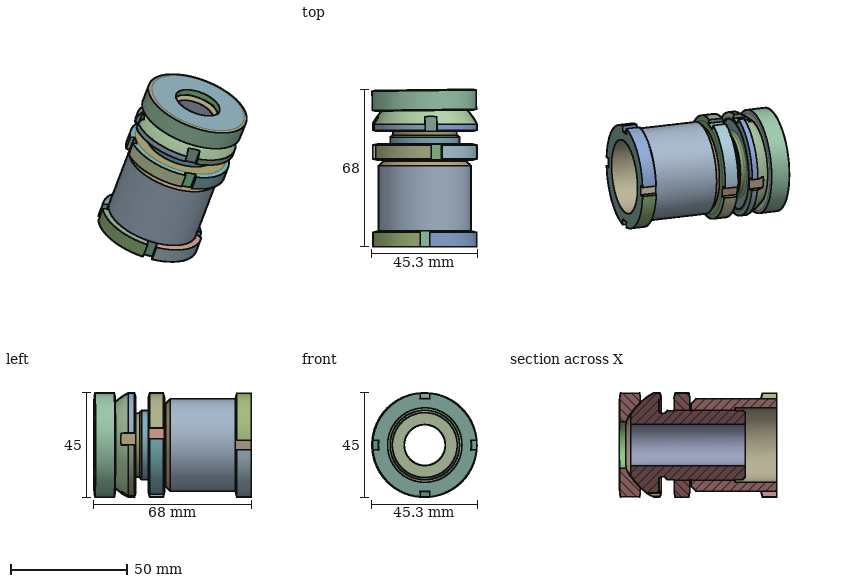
import cadquery as cq
import math


rim_radius = 45.0 / 2
thread_radius = 30.0 / 2
passage_radius = 17.55 / 2
bevel_angle = 15.0

sleeve_length = 37.0
sleeve_radius = 40.0 / 2
sleeve_chamfer = 2.1
flange_height = 6.95
sleeve_recess_radius = 32.1 / 2
sleeve_recess_depth = 18.0
sleeve_notch_width = 4.1
sleeve_notch_floor = 20.0

nut_gap = 0.4
nut_height = 7.0
nut_face_radius = 20.4
nut_notch_width = 4.9
nut_notch_floor = 20.7
nut_turn = 13.3

spindle_bottom = 13.6
spindle_chamfer = 1.0
neck_radius = 27.6 / 2
neck_bottom = 48.1
neck_fillet = 0.35
head_bottom = 49.8
head_bevel_height = 0.6
head_recess_radius = 19.7
head_recess_depth = 0.95
head_root_fillet = head_recess_depth
head_top = 63.05
head_face_radius = 20.55
ball_center = 42.0
ball_radius = 25.0
head_notch_width = 5.2
head_notch_floor = 20.55
head_turn = 7.1

disc_bottom = 58.75
disc_top = 67.7
disc_face_radius = 21.1
disc_bore_radius = 20.0 / 2
disc_tilt = 0.7


def bevel_height(outer, inner):
    """Height lost by a shallow bevel running from one radius to another."""
    return (outer - inner) * math.tan(math.radians(bevel_angle))


def ball_height(radius):
    """Level at which the ball surface has the given radius about the Y axis."""
    return ball_center + math.sqrt(ball_radius**2 - radius**2)


def revolve_about_y(profile):
    return profile.close().revolve(360, (0, 0, 0), (0, 1, 0))


def cut_notches(body, bottom, height, width, floor_radius, turn):
    """Cut four notches through a rim; turn rotates them from +Z towards +X."""
    depth = 2 * (rim_radius - floor_radius)
    block = cq.Workplane("XY").box(width, height, depth, centered=(True, False, False))
    block = block.translate((0, bottom, floor_radius))
    for quarter in range(4):
        body = body.cut(block.rotate((0, 0, 0), (0, 1, 0), turn + 90 * quarter))
    return body


def make_sleeve():
    profile = (
        cq.Workplane("XY")
        .moveTo(sleeve_recess_radius, 0)
        .lineTo(rim_radius, 0)
        .lineTo(rim_radius, flange_height - bevel_height(rim_radius, sleeve_radius))
        .lineTo(sleeve_radius, flange_height)
        .lineTo(sleeve_radius, sleeve_length - sleeve_chamfer)
        .lineTo(sleeve_radius - sleeve_chamfer, sleeve_length)
        .lineTo(thread_radius, sleeve_length)
        .lineTo(thread_radius, sleeve_recess_depth)
        .lineTo(sleeve_recess_radius, sleeve_recess_depth)
    )
    return cut_notches(
        revolve_about_y(profile), 0, flange_height, sleeve_notch_width, sleeve_notch_floor, 0
    )


def make_lock_nut():
    bottom = sleeve_length + nut_gap
    top = bottom + nut_height
    bevel = bevel_height(rim_radius, nut_face_radius)
    profile = (
        cq.Workplane("XY")
        .moveTo(thread_radius, bottom)
        .lineTo(nut_face_radius, bottom)
        .lineTo(rim_radius, bottom + bevel)
        .lineTo(rim_radius, top - bevel)
        .lineTo(nut_face_radius, top)
        .lineTo(thread_radius, top)
    )
    return cut_notches(
        revolve_about_y(profile), bottom, nut_height, nut_notch_width, nut_notch_floor, nut_turn
    )


def make_spindle():
    ledge_radius = neck_radius + neck_fillet
    recess_top = head_bottom + head_recess_depth
    ball_edge = ball_height(rim_radius)
    top_radius = math.sqrt(ball_radius**2 - (head_top - ball_center) ** 2)
    middle_radius = (rim_radius + top_radius) / 2
    profile = (
        cq.Workplane("XY")
        .moveTo(passage_radius, spindle_bottom)
        .lineTo(thread_radius - spindle_chamfer, spindle_bottom)
        .lineTo(thread_radius, spindle_bottom + spindle_chamfer)
        .lineTo(thread_radius, neck_bottom - (thread_radius - ledge_radius))
        .lineTo(ledge_radius, neck_bottom)
        .radiusArc((neck_radius, neck_bottom + neck_fillet), neck_fillet)
        .lineTo(neck_radius, recess_top - head_root_fillet)
        .radiusArc((neck_radius + head_root_fillet, recess_top), head_root_fillet)
        .lineTo(head_recess_radius, recess_top)
        .lineTo(head_recess_radius, head_bottom)
        .lineTo(head_face_radius, head_bottom)
        .lineTo(rim_radius, head_bottom + head_bevel_height)
        .lineTo(rim_radius, ball_edge)
        .threePointArc((middle_radius, ball_height(middle_radius)), (top_radius, head_top))
        .lineTo(passage_radius, head_top)
    )
    return cut_notches(
        revolve_about_y(profile),
        head_bottom,
        head_top - head_bottom,
        head_notch_width,
        head_notch_floor,
        head_turn,
    )


def make_seat_disc():
    """Disc whose spherical seat rests on the ball, tilted about the ball centre."""
    seat_radius = math.sqrt(ball_radius**2 - (disc_bottom - ball_center) ** 2)
    middle_radius = (seat_radius + disc_bore_radius) / 2
    bevel = bevel_height(rim_radius, disc_face_radius)
    profile = (
        cq.Workplane("XY")
        .moveTo(seat_radius, disc_bottom)
        .lineTo(disc_face_radius, disc_bottom)
        .lineTo(rim_radius, disc_bottom + bevel)
        .lineTo(rim_radius, disc_top - bevel)
        .lineTo(disc_face_radius, disc_top)
        .lineTo(disc_bore_radius, disc_top)
        .lineTo(disc_bore_radius, ball_height(disc_bore_radius))
        .threePointArc((middle_radius, ball_height(middle_radius)), (seat_radius, disc_bottom))
    )
    disc = revolve_about_y(profile)
    return disc.rotate((0, ball_center, 0), (0, ball_center, 1), disc_tilt)


sleeve = make_sleeve()
lock_nut = make_lock_nut()
spindle = make_spindle()
seat_disc = make_seat_disc()

result = cq.Compound.makeCompound([sleeve.val(), lock_nut.val(), spindle.val(), seat_disc.val()])